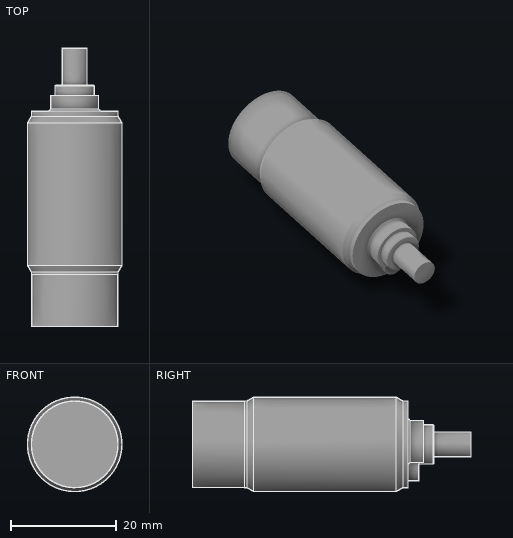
import cadquery as cq

overall_length = 53.0
cap_end = 9.9
front_lip_end = 10.4
front_taper_end = 11.65
rear_taper_start = 38.75
rear_lip_start = 40.0
body_end = 41.0
collar_end = 44.0
ring_end = 45.95

cap_radius = 8.2
lip_radius = 8.25
body_radius = 9.0
collar_radius = 4.55
ring_radius = 3.75
cable_radius = 2.4

collar_flat_depth = 3.45
collar_flare = 0.35
foot_overlap = 0.55
ring_chamfer = 0.15
lamp_radius = 2.2
lamp_drop = 4.7
lamp_end = 43.1


def rod(radius, start, end, drop=0.0):
    """Cylinder along +Y whose axis lies a given distance below the part axis."""
    plane = cq.Plane(origin=(0, start, -drop), xDir=(1, 0, 0), normal=(0, 1, 0))
    return cq.Workplane(plane).circle(radius).extrude(end - start)


def make_body():
    """Main barrel with a taper and a short lip at each end."""
    return (
        cq.Workplane("XY")
        .moveTo(0, cap_end)
        .lineTo(lip_radius, cap_end)
        .lineTo(lip_radius, front_lip_end)
        .lineTo(body_radius, front_taper_end)
        .lineTo(body_radius, rear_taper_start)
        .lineTo(lip_radius, rear_lip_start)
        .lineTo(lip_radius, body_end)
        .lineTo(0, body_end)
        .close()
        .revolve(360, (0, 0, 0), (0, 1, 0))
    )


def flatted_disc(radius, flat_depth, start, end):
    """Disc along +Y with its underside cut flat at the given depth."""
    keep_height = radius + flat_depth
    keep = cq.Workplane("XY").box(2 * radius, end - start, keep_height, centered=(True, False, False))
    return rod(radius, start, end).intersect(keep.translate((0, start, -flat_depth)))


def make_collar():
    """Flatted collar standing on a foot that flares out toward the barrel."""
    foot = flatted_disc(
        collar_radius + collar_flare,
        collar_flat_depth + collar_flare,
        body_end - foot_overlap,
        body_end + collar_flare,
    )
    foot = foot.faces(">Y").edges().chamfer(collar_flare)
    return foot.union(flatted_disc(collar_radius, collar_flat_depth, body_end, collar_end))


ring = rod(ring_radius, body_end, ring_end).faces(">Y").edges().chamfer(ring_chamfer)

result = (
    make_body()
    .union(make_collar())
    .union(rod(cap_radius, 0, cap_end))
    .union(ring)
    .union(rod(cable_radius, body_end, overall_length))
    .union(rod(lamp_radius, body_end, lamp_end, lamp_drop))
)